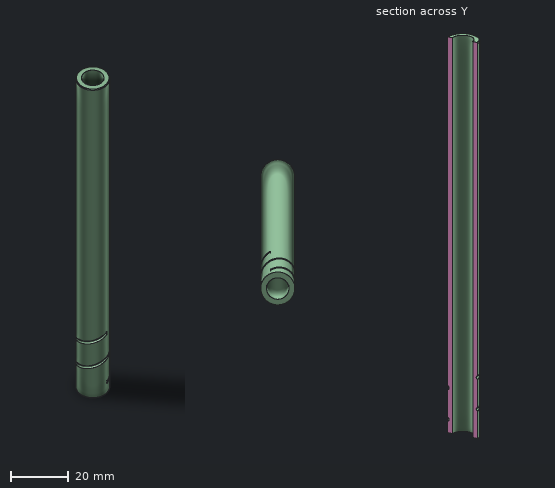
import cadquery as cq

length = 150.0
outer_radius = 6.0
bore_radius = 3.9
rim_chamfer = 0.3

groove_pitch = 12.0
groove_turns = 2
groove_start_height = 5.1
groove_radius = 0.6


def make_tube():
    """Plain tube with its upper outer rim lightly chamfered."""
    rod = cq.Workplane("XY").circle(outer_radius).extrude(length)
    rod = rod.faces(">Z").edges().chamfer(rim_chamfer)
    return rod.faces(">Z").workplane().circle(bore_radius).cutThruAll()


def make_groove_cutter():
    """Right-handed coil centred on the tube surface, starting on the +X side."""
    path = cq.Wire.makeHelix(groove_pitch, groove_pitch * groove_turns, outer_radius)
    cutter = (
        cq.Workplane("XZ")
        .center(outer_radius, 0)
        .circle(groove_radius)
        .sweep(path, isFrenet=True)
    )
    return cutter.translate((0, 0, groove_start_height))


result = make_tube().cut(make_groove_cutter())